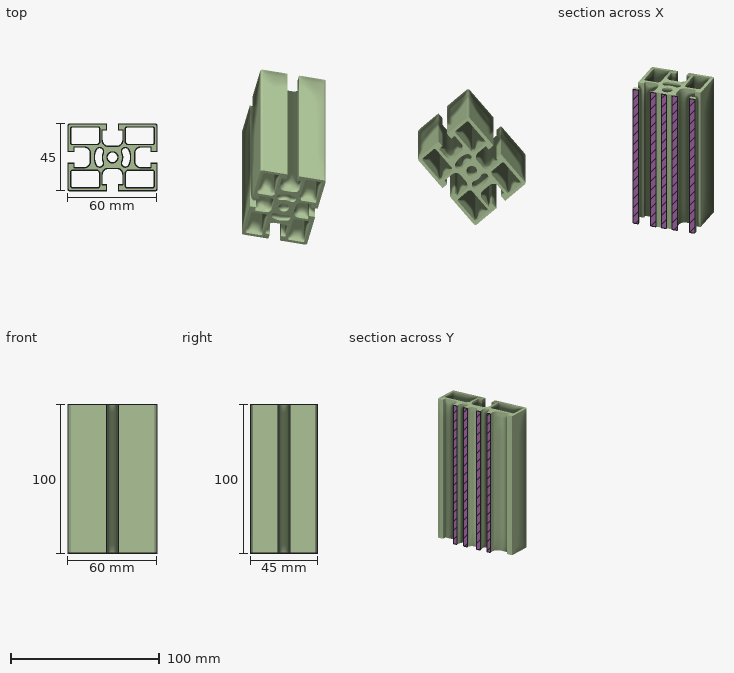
import cadquery as cq
import math

width = 60.0
depth = 45.0
length = 100.0
outer_radius = 1.5

mouth_width = 7.8
cavity_width = 13.8
lip_thickness = 4.2
slot_depth = 15.0
cavity_radius = 4.0

side_wall = 2.0
end_wall = 2.2
slot_wall = 1.8
chamber_radius = 1.0
chamber_chamfer = 1.3

bore_diameter = 7.2
curved_slot_radius = 9.5
curved_slot_width = 5.2
curved_slot_half_height = 6.5


def t_slot(face_distance, angle):
    """T-slot opening at +Y, then turned about Z to its own side."""
    floor = face_distance - slot_depth
    cavity_height = slot_depth - lip_thickness
    cavity = (
        cq.Workplane("XY")
        .center(0, floor + cavity_height / 2)
        .rect(cavity_width, cavity_height)
        .extrude(length)
        .edges("|Z and <Y")
        .fillet(cavity_radius)
    )
    mouth = (
        cq.Workplane("XY")
        .center(0, face_distance - lip_thickness / 2)
        .rect(mouth_width, lip_thickness)
        .extrude(length)
    )
    return cavity.union(mouth).rotate((0, 0, 0), (0, 0, 1), angle)


def corner_chamber(side_x, side_y):
    """Chamber in one corner, chamfered towards the core and rounded elsewhere."""
    inner = cavity_width / 2 + slot_wall
    outer_x = width / 2 - side_wall
    outer_y = depth / 2 - end_wall
    inner_corner = cq.selectors.NearestToPointSelector((side_x * inner, side_y * inner, length / 2))
    chamber = (
        cq.Workplane("XY")
        .center(side_x * (outer_x + inner) / 2, side_y * (outer_y + inner) / 2)
        .rect(outer_x - inner, outer_y - inner)
        .extrude(length)
    )
    vertical = cq.selectors.ParallelDirSelector(cq.Vector(0, 0, 1))
    chamber = chamber.edges(vertical - inner_corner).fillet(chamber_radius)
    return chamber.edges(inner_corner).chamfer(chamber_chamfer)


def curved_slot(side):
    """Round-ended slot following a circle around the bore; side is +1 or -1."""
    end_radius = curved_slot_width / 2
    end_angle = math.asin((curved_slot_half_height - end_radius) / curved_slot_radius)

    def polar(radius, angle):
        return (side * radius * math.cos(angle), radius * math.sin(angle))

    inner = curved_slot_radius - end_radius
    outer = curved_slot_radius + end_radius
    cap_x, cap_y = polar(curved_slot_radius, end_angle)
    cap_dx = side * end_radius * math.sin(end_angle)
    cap_dy = end_radius * math.cos(end_angle)
    return (
        cq.Workplane("XY")
        .moveTo(*polar(outer, -end_angle))
        .threePointArc(polar(outer, 0), polar(outer, end_angle))
        .threePointArc((cap_x - cap_dx, cap_y + cap_dy), polar(inner, end_angle))
        .threePointArc(polar(inner, 0), polar(inner, -end_angle))
        .threePointArc((cap_x - cap_dx, -cap_y - cap_dy), polar(outer, -end_angle))
        .close()
        .extrude(length)
    )


result = cq.Workplane("XY").rect(width, depth).extrude(length).edges("|Z").fillet(outer_radius)

for angle in (0, 180):
    result = result.cut(t_slot(depth / 2, angle))
for angle in (90, 270):
    result = result.cut(t_slot(width / 2, angle))

for side_x in (-1, 1):
    for side_y in (-1, 1):
        result = result.cut(corner_chamber(side_x, side_y))

for side in (-1, 1):
    result = result.cut(curved_slot(side))

bore = cq.Workplane("XY").circle(bore_diameter / 2).extrude(length)
result = result.cut(bore)